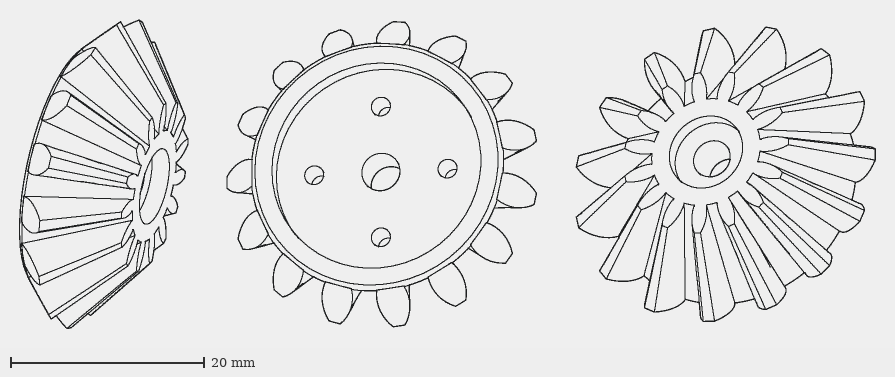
import cadquery as cq
import math

axis_angle = math.radians(30)
tooth_count = 15
module = 2.0
pitch_radius = module * tooth_count / 2
addendum = module
dedendum = 1.2 * module
slope = math.sqrt(0.5)

pitch_height = 2.2
apex_height = pitch_height + pitch_radius
front_height = 9.75
cone_distance = pitch_radius / slope

tip_half_width = 0.62
belly_half_width = 1.67
base_half_width = 1.45
belly_depth = 0.92
root_overlap = 0.15
small_end_scale = 0.4

pocket_diameter = 22.0
pocket_depth = 2.5
bore_diameter = 4.0
web_thickness = 5.35
front_recess_diameter = 8.0
screw_hole_diameter = 2.0
screw_hole_depth = 4.0
screw_circle_radius = 7.0
screw_hole_count = 4


def gear_body():
    """Root cone with the 45 degree back cone below it."""
    root_radius = pitch_radius - dedendum * slope
    root_height = pitch_height - dedendum * slope
    back_radius = root_radius - root_height
    front_radius = root_radius * (apex_height - front_height) / (apex_height - root_height)
    return (
        cq.Workplane("XZ")
        .moveTo(0, 0)
        .lineTo(back_radius, 0)
        .lineTo(root_radius, root_height)
        .lineTo(front_radius, front_height)
        .lineTo(0, front_height)
        .close()
        .revolve(360, (0, 0, 0), (0, 1, 0))
    )


def tooth_outline(plane, scale):
    """Add one closed tooth section to the plane; its x axis points to the tip."""
    tip = addendum * scale
    belly = -belly_depth * scale
    base = -(dedendum + root_overlap) * scale
    half_tip = tip_half_width * scale
    half_belly = belly_half_width * scale
    half_base = base_half_width * scale
    return (
        plane.moveTo(base, half_base)
        .threePointArc((belly, half_belly), (tip, half_tip))
        .lineTo(tip, -half_tip)
        .threePointArc((belly, -half_belly), (base, -half_base))
        .close()
    )


def tooth():
    """Tooth tapering from its flat large end towards the cone apex, trimmed at the front face."""
    large_end = cq.Plane(origin=(pitch_radius, 0, pitch_height), xDir=(1, 0, 1), normal=(1, 0, -1))
    large_section = tooth_outline(cq.Workplane(large_end), 1)
    offset_to_small_end = -cone_distance * (1 - small_end_scale)
    small_plane = large_section.workplane(offset=offset_to_small_end, origin=large_end.origin)
    blank = tooth_outline(small_plane, small_end_scale).loft(ruled=True)
    below_front = cq.Workplane("XY").circle(2 * pitch_radius).extrude(front_height)
    return blank.intersect(below_front)


gear = gear_body()
single_tooth = tooth()
for index in range(tooth_count):
    gear = gear.union(single_tooth.rotate((0, 0, 0), (0, 0, 1), index * 360 / tooth_count))

web_front_height = pocket_depth + web_thickness
pocket = cq.Workplane("XY").circle(pocket_diameter / 2).extrude(pocket_depth)
bore = cq.Workplane("XY").circle(bore_diameter / 2).extrude(front_height)
front_recess = (
    cq.Workplane("XY", origin=(0, 0, web_front_height))
    .circle(front_recess_diameter / 2)
    .extrude(front_height - web_front_height)
)
gear = gear.cut(pocket).cut(bore).cut(front_recess)

screw_holes = (
    cq.Workplane("XY", origin=(0, 0, pocket_depth))
    .polarArray(screw_circle_radius, 0, 360, screw_hole_count)
    .circle(screw_hole_diameter / 2)
    .extrude(screw_hole_depth)
)
gear = gear.cut(screw_holes)

placement = cq.Plane(
    origin=(0, 0, 0),
    xDir=(-math.sin(axis_angle), math.cos(axis_angle), 0),
    normal=(math.cos(axis_angle), math.sin(axis_angle), 0),
)
result = cq.Workplane("XY").newObject([gear.val().moved(cq.Location(placement))])